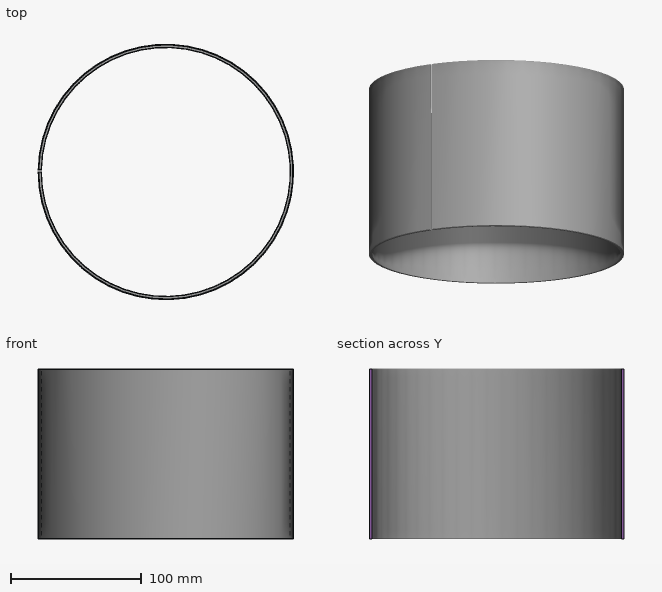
import cadquery as cq

outer_diameter = 195.0
wall_thickness = 2.5
height = 130.0
outer_chamfer = 0.5
inner_chamfer = 0.2
gap_angle = 1.0
gap_edge_direction = 180.0

outer_radius = outer_diameter / 2
inner_radius = outer_radius - wall_thickness


def make_wall_profile():
    """Wall cross-section in the XZ plane, with all four corners chamfered."""
    return (
        cq.Workplane("XZ")
        .moveTo(inner_radius + inner_chamfer, 0)
        .lineTo(outer_radius - outer_chamfer, 0)
        .lineTo(outer_radius, outer_chamfer)
        .lineTo(outer_radius, height - outer_chamfer)
        .lineTo(outer_radius - outer_chamfer, height)
        .lineTo(inner_radius + inner_chamfer, height)
        .lineTo(inner_radius, height - inner_chamfer)
        .lineTo(inner_radius, inner_chamfer)
        .close()
    )


def make_split_sleeve():
    """Sweep the wall around Z, stopping short of a full turn to leave the gap."""
    sleeve = make_wall_profile().revolve(360 - gap_angle, (0, 0), (0, 1))
    return sleeve.rotate((0, 0, 0), (0, 0, 1), gap_edge_direction)


result = make_split_sleeve()